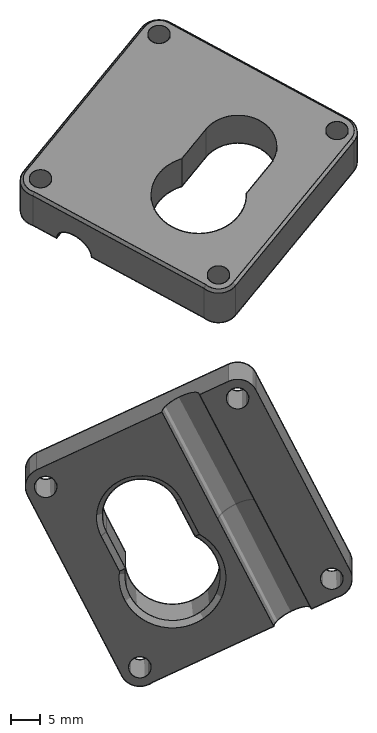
import cadquery as cq
import math

side = 42.75
thickness = 9.0
corner_radius = 3.4
top_chamfer = 0.5
front_setback = 0.07

screw_hole_diameter = 3.75
screw_spacing = side - 2 * corner_radius

keyhole_x = 6.0
keyhole_circle_y = -6.0
keyhole_circle_diameter = 16.0
slot_end_y = 6.0
slot_width = 13.0
keyhole_bottom_chamfer = 1.0

channel_x = -8.98
channel_radius = 3.5


def make_plate():
    """Rounded square whose front corners bulge slightly past the front face."""
    half = side / 2
    center = half - corner_radius
    diagonal = center + corner_radius * math.sqrt(0.5)
    front_y = -half + front_setback
    overrun = math.sqrt(corner_radius**2 - (corner_radius - front_setback) ** 2)
    front_x = center - overrun
    outline = (
        cq.Workplane("XY")
        .moveTo(-front_x, front_y)
        .lineTo(front_x, front_y)
        .threePointArc((diagonal, -diagonal), (half, -center))
        .lineTo(half, center)
        .threePointArc((diagonal, diagonal), (center, half))
        .lineTo(-center, half)
        .threePointArc((-diagonal, diagonal), (-half, center))
        .lineTo(-half, -center)
        .threePointArc((-diagonal, -diagonal), (-front_x, front_y))
        .close()
    )
    return outline.extrude(thickness).faces(">Z").edges().chamfer(top_chamfer)


def make_screw_holes():
    return (
        cq.Workplane("XY")
        .rect(screw_spacing, screw_spacing, forConstruction=True)
        .vertices()
        .circle(screw_hole_diameter / 2)
        .extrude(thickness)
    )


def make_keyhole():
    slot_length = slot_end_y - keyhole_circle_y
    circle = (
        cq.Workplane("XY")
        .center(keyhole_x, keyhole_circle_y)
        .circle(keyhole_circle_diameter / 2)
        .extrude(thickness)
    )
    slot = (
        cq.Workplane("XY")
        .center(keyhole_x, keyhole_circle_y + slot_length / 2)
        .slot2D(slot_length + slot_width, slot_width, 90)
        .extrude(thickness)
    )
    return circle.union(slot)


def make_channel():
    return (
        cq.Workplane("XZ")
        .center(channel_x, 0)
        .circle(channel_radius)
        .extrude(side / 2, both=True)
    )


def cut_keyhole(plate):
    """Cut the keyhole and chamfer its edge on the underside."""
    plate = plate.cut(make_keyhole())
    half_inner = side / 2 - corner_radius
    keyhole_region = cq.selectors.BoxSelector(
        (-half_inner, -half_inner, -thickness / 2),
        (half_inner, half_inner, thickness / 2),
        boundingbox=True,
    )
    return plate.faces("<Z").edges(keyhole_region).chamfer(keyhole_bottom_chamfer)


plate = cut_keyhole(make_plate())
result = plate.cut(make_screw_holes()).cut(make_channel())